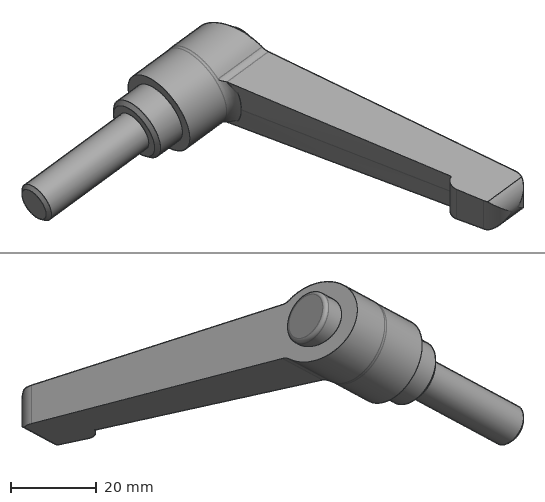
import cadquery as cq
import math


STUD_RADIUS = 10.0 / 2
STUD_END = -40.05
STUD_CHAMFER = 0.9
COLLAR_RADIUS = 8.0
COLLAR_END = -8.0
COLLAR_CHAMFER = 1.0

HUB_RADIUS = 21.2 / 2
HUB_STEP = 0.1
HUB_LOWER_RADIUS = HUB_RADIUS - HUB_STEP
HUB_LOWER_TOP = 11.8
BUTTON_RADIUS = 6.6
BUTTON_TOP = 28.0
BUTTON_FILLET = 1.0

TOP_SLOPE = math.tan(math.radians(16))
TOP_HEIGHT_AT_AXIS = 24.6

ARM_HALF_WIDTH_AT_AXIS = 7.7
ARM_SIDE_SLOPE = math.tan(math.radians(1.9))
ARM_FILLET = 2.75

OVERALL_LENGTH = 88.6
TIP_X = OVERALL_LENGTH - HUB_RADIUS
TIP_DOME_DEPTH = 2.9
TIP_UPPER_FILLET = 4.2
TIP_LOWER_FILLET = 5.85

UNDERSIDE_ANGLE = math.radians(20)
UNDERSIDE_SLOPE = math.tan(UNDERSIDE_ANGLE)
THUMB_ROOT_X = 63.9
THUMB_ROOT_Y = 33.3
THUMB_DROP = 3.0
THUMB_ARC_MID = (65.3, 31.8)
THUMB_ARC_END_X = 67.6
RIDGE_START_X = 7.1
RIDGE_ROOT_DEPTH = 0.6
RIDGE_TIP_DEPTH = 0.04
RIDGE_OVERLAP = 1.8


def cylinder(radius, y_start, y_end):
    """Solid cylinder on the clamp axis between two heights."""
    start_plane = cq.Workplane("XZ", origin=(0, y_start, 0))
    return start_plane.circle(radius).extrude(y_start - y_end)


def top_height(x):
    return TOP_HEIGHT_AT_AXIS + TOP_SLOPE * x


def half_width(x):
    return ARM_HALF_WIDTH_AT_AXIS - ARM_SIDE_SLOPE * x


def underside_height(x):
    """Height of the ridge line under the arm."""
    return THUMB_ROOT_Y + UNDERSIDE_SLOPE * (x - THUMB_ROOT_X)


def ridge_depth(x):
    """Height of the underside's side edges above its ridge line."""
    share = (x - RIDGE_START_X) / (THUMB_ROOT_X - RIDGE_START_X)
    return RIDGE_ROOT_DEPTH + share * (RIDGE_TIP_DEPTH - RIDGE_ROOT_DEPTH)


def make_plan_column():
    """Hub circle, tapered arm and domed tip, extruded along the clamp axis."""
    dome_x = TIP_X - TIP_DOME_DEPTH
    bottom = HUB_LOWER_TOP
    height = top_height(TIP_X) - bottom
    arm = (
        cq.Workplane("XZ", origin=(0, bottom, 0))
        .moveTo(0, half_width(0))
        .lineTo(dome_x, half_width(dome_x))
        .threePointArc((TIP_X, 0), (dome_x, -half_width(dome_x)))
        .lineTo(0, -half_width(0))
        .close()
        .extrude(-height)
    )
    column = arm.union(cylinder(HUB_RADIUS, bottom, bottom + height))
    corners = cq.selectors.BoxSelector((0, 0, -HUB_RADIUS), (HUB_RADIUS, bottom + height, HUB_RADIUS))
    return column.edges("|Y").edges(corners).fillet(ARM_FILLET)


def make_arm_profile():
    """Side outline of the arm, with the thumb rest and rounded tip, as a wide slab."""
    thumb_end_y = underside_height(THUMB_ARC_END_X) - THUMB_DROP
    tip_bottom_y = thumb_end_y + UNDERSIDE_SLOPE * (TIP_X - THUMB_ARC_END_X)
    ridge_start_y = underside_height(RIDGE_START_X) + ridge_depth(RIDGE_START_X)
    slab = (
        cq.Workplane("XY")
        .moveTo(RIDGE_START_X, top_height(RIDGE_START_X))
        .lineTo(RIDGE_START_X, ridge_start_y)
        .lineTo(THUMB_ROOT_X, THUMB_ROOT_Y + RIDGE_TIP_DEPTH)
        .threePointArc(THUMB_ARC_MID, (THUMB_ARC_END_X, thumb_end_y))
        .lineTo(TIP_X, tip_bottom_y)
        .lineTo(TIP_X, top_height(TIP_X))
        .close()
        .extrude(HUB_RADIUS, both=True)
    )
    slab = slab.faces(">X").edges(">Y").fillet(TIP_UPPER_FILLET)
    lower_tip = cq.selectors.NearestToPointSelector((TIP_X, tip_bottom_y, 0))
    return slab.edges("|Z").edges(lower_tip).fillet(TIP_LOWER_FILLET)


def ridge_section(x):
    """Pentagon across the arm whose lower two sides meet on the ridge line."""
    width = half_width(x)
    edge_y = underside_height(x) + ridge_depth(x)
    upper_y = edge_y + RIDGE_OVERLAP
    points = [
        (x, upper_y, -width),
        (x, edge_y, -width),
        (x, underside_height(x), 0),
        (x, edge_y, width),
        (x, upper_y, width),
    ]
    return cq.Wire.makePolygon([cq.Vector(*point) for point in points], close=True)


def make_ridge():
    """Shallow ridge under the arm that fades out at the thumb rest."""
    sections = [ridge_section(RIDGE_START_X), ridge_section(THUMB_ROOT_X)]
    return cq.Workplane(obj=cq.Solid.makeLoft(sections, True))


def make_flare():
    """Turned body whose concave lower corner runs tangent from the hub into the arm's ridge line."""
    rise_to_arm = underside_height(HUB_LOWER_RADIUS) - HUB_LOWER_TOP
    arc_radius = rise_to_arm / (
        math.cos(UNDERSIDE_ANGLE) - UNDERSIDE_SLOPE * (1 - math.sin(UNDERSIDE_ANGLE))
    )

    def arc_point(turn):
        """Point on the concave arc after leaving the hub wall and turning by an angle."""
        reach = arc_radius * (1 - math.cos(turn))
        return (HUB_LOWER_RADIUS + reach, HUB_LOWER_TOP + arc_radius * math.sin(turn))

    end_turn = math.pi / 2 - UNDERSIDE_ANGLE
    arc_end = arc_point(end_turn)
    outer_radius = arc_end[0]
    body_top = top_height(TIP_X)
    return (
        cq.Workplane("XY")
        .moveTo(0, HUB_LOWER_TOP)
        .lineTo(HUB_LOWER_RADIUS, HUB_LOWER_TOP)
        .threePointArc(arc_point(end_turn / 2), arc_end)
        .lineTo(outer_radius, body_top)
        .lineTo(0, body_top)
        .close()
        .revolve(360, (0, 0, 0), (0, 1, 0))
    )


def make_space_below_top():
    """Wide block holding everything below the sloping top plane."""
    left = -2 * HUB_RADIUS
    right = 2 * TIP_X
    return (
        cq.Workplane("XY")
        .polyline([(left, 0), (right, 0), (right, top_height(right)), (left, top_height(left))])
        .close()
        .extrude(2 * HUB_RADIUS, both=True)
    )


def make_lever():
    envelope = make_flare().union(make_arm_profile()).union(make_ridge())
    return make_plan_column().intersect(envelope).intersect(make_space_below_top())


stud = cylinder(STUD_RADIUS, STUD_END, 0).faces("<Y").chamfer(STUD_CHAMFER)
collar = cylinder(COLLAR_RADIUS, COLLAR_END, 0).faces("<Y").chamfer(COLLAR_CHAMFER)
lower_hub = cylinder(HUB_LOWER_RADIUS, 0, HUB_LOWER_TOP)
button = cylinder(BUTTON_RADIUS, HUB_LOWER_TOP, BUTTON_TOP).faces(">Y").edges().fillet(BUTTON_FILLET)

result = make_lever().union(lower_hub).union(collar).union(stud).union(button)